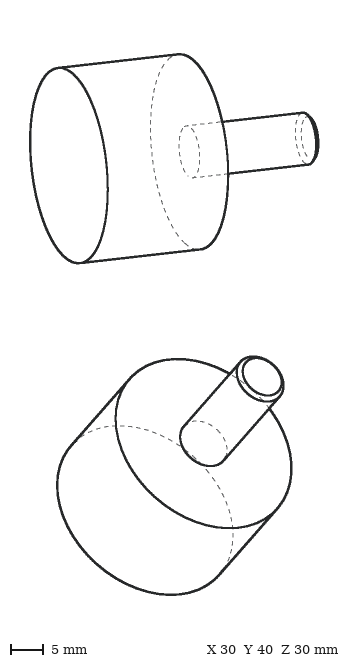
import cadquery as cq

OVERALL_LENGTH = 40.0
BUFFER_DIAMETER = 30.0
BUFFER_LENGTH = 20.0
STUD_DIAMETER = 8.0
STUD_CHAMFER = 0.7

FRONT_Y = -OVERALL_LENGTH / 2
STUD_LENGTH = OVERALL_LENGTH - BUFFER_LENGTH
STUD_BASE_Y = FRONT_Y + BUFFER_LENGTH


def cylinder_along_y(diameter, length, start_y):
    """Cylinder on the common axis, growing toward +Y from start_y."""
    return (
        cq.Workplane("XZ", origin=(0, start_y, 0))
        .circle(diameter / 2)
        .extrude(-length)
    )


def make_buffer():
    """Plain cylindrical buffer with a flat contact face on -Y."""
    return cylinder_along_y(BUFFER_DIAMETER, BUFFER_LENGTH, FRONT_Y)


def make_stud():
    """Stud standing on the +Y face of the buffer, with a 45 degree chamfered tip."""
    stud = cylinder_along_y(STUD_DIAMETER, STUD_LENGTH, STUD_BASE_Y)
    return stud.faces(">Y").chamfer(STUD_CHAMFER)


buffer = make_buffer()
stud = make_stud()

result = cq.Compound.makeCompound([buffer.val(), stud.val()])